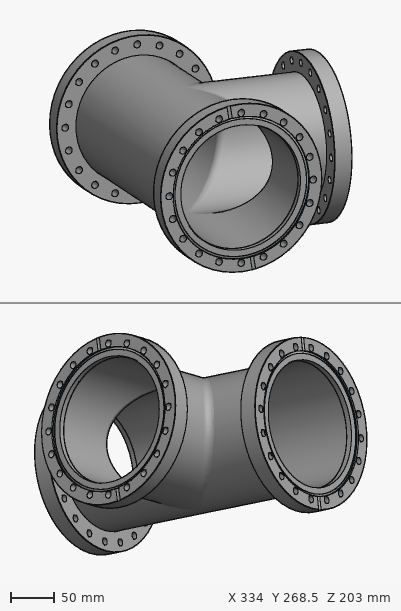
import cadquery as cq
import math

half_run = 167.0
flange_diameter = 203.0
flange_thickness = 22.0

tube_diameter = 154.0
tube_bore = 150.0
seam_radius = 8.0
tube_setback = 9.0
tube_half_length = half_run - tube_setback

bore_diameter = 150.5
socket_diameter = 154.5
rim_chamfer = 0.5

seal_diameter = 171.5
seal_depth = 2.5
knife_diameter = 165.5
knife_angle = 20.0
floor_depth = 2.0
knife_rise = (seal_diameter - knife_diameter) / 2 * math.tan(math.radians(knife_angle))
knife_depth = seal_depth - knife_rise

bolt_circle = 181.0
bolt_diameter = 8.5
bolt_count = 20

groove_width = 4.5
groove_depth = 1.0
groove_overlap = 1.0
groove_angle = 180.0 / bolt_count
groove_radius = (groove_width**2 / 4 + groove_depth**2) / (2 * groove_depth)


def tee_solid(diameter):
    """Solid tee with the seams between run and branch rounded."""
    run = cq.Workplane("YZ").circle(diameter / 2).extrude(tube_half_length, both=True)
    branch = cq.Workplane("XZ").circle(diameter / 2).extrude(-tube_half_length)
    seam_box = cq.selectors.BoxSelector(
        (-diameter / 2, seam_radius, -diameter / 2),
        (diameter / 2, diameter / 2, diameter / 2),
    )
    return run.union(branch).edges(seam_box).fillet(seam_radius)


def tee_tube():
    """Thin-walled tee tube."""
    return tee_solid(tube_diameter).cut(tee_solid(tube_bore))


def flange_ring():
    """Turned ring about Z: sealing face at Z = 0, socket facing -Z."""
    rim_radius = flange_diameter / 2
    profile = [
        (bore_diameter / 2, -floor_depth),
        (knife_diameter / 2, -floor_depth),
        (knife_diameter / 2, -knife_depth),
        (seal_diameter / 2, -seal_depth),
        (seal_diameter / 2, 0),
        (rim_radius - rim_chamfer, 0),
        (rim_radius, -rim_chamfer),
        (rim_radius, rim_chamfer - flange_thickness),
        (rim_radius - rim_chamfer, -flange_thickness),
        (socket_diameter / 2, -flange_thickness),
        (socket_diameter / 2, -tube_setback),
        (bore_diameter / 2, -tube_setback),
    ]
    return cq.Workplane("XZ").polyline(profile).close().revolve(360, (0, 0), (0, 1))


def bolt_holes():
    """Ring of through holes, one of them on the Y axis."""
    return (
        cq.Workplane("XY")
        .polarArray(bolt_circle / 2, 90, 360, bolt_count)
        .circle(bolt_diameter / 2)
        .extrude(-flange_thickness)
    )


def leak_groove(turn):
    """Rod that cuts one groove from the seal recess out through the rim, turned from +Y."""
    start = seal_diameter / 2 - groove_overlap
    length = flange_diameter / 2 - start + groove_overlap
    centre = (0, start, groove_radius - groove_depth)
    rod = cq.Workplane("XZ", origin=centre).circle(groove_radius).extrude(-length)
    return rod.rotate((0, 0, 0), (0, 0, 1), turn)


def flange(outward):
    """Flange at the end of the arm that points along the unit vector outward."""
    body = flange_ring().cut(bolt_holes())
    for turn in (groove_angle, groove_angle + 180):
        body = body.cut(leak_groove(turn))
    axis = cq.Vector(*outward)
    face = cq.Plane(origin=axis * half_run, xDir=cq.Vector(0, 0, 1).cross(axis), normal=axis)
    return body.val().moved(cq.Location(face))


tube = tee_tube()
flanges = [flange(outward) for outward in ((-1, 0, 0), (1, 0, 0), (0, 1, 0))]

result = cq.Compound.makeCompound([tube.val(), *flanges])